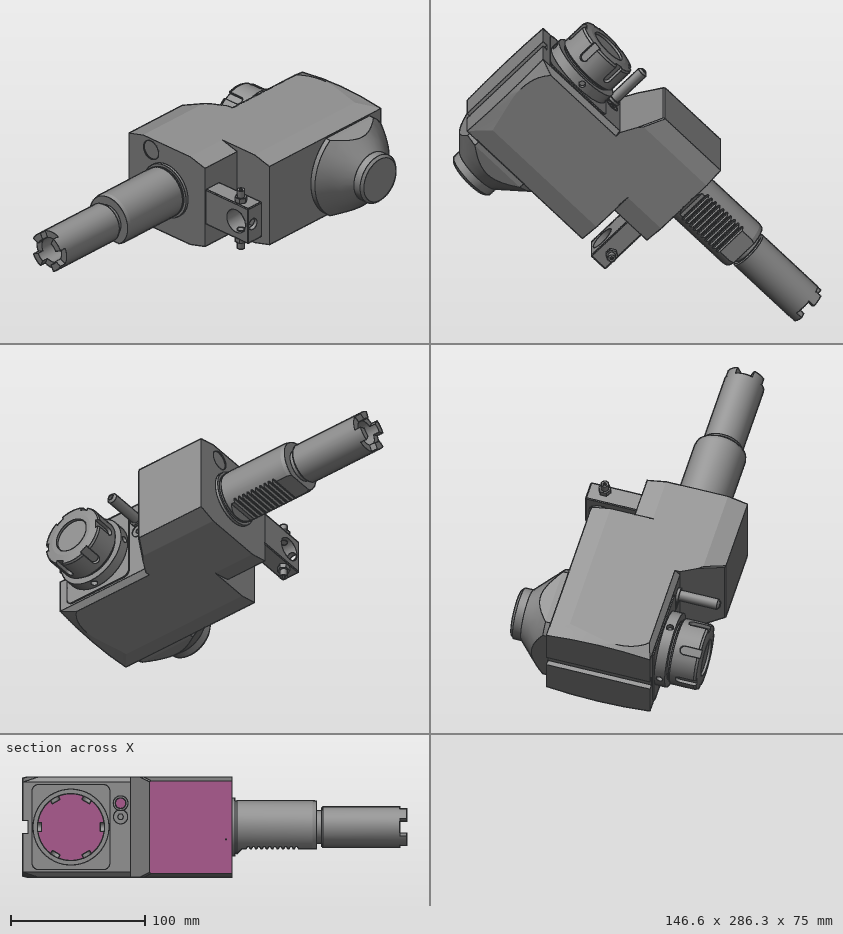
import cadquery as cq
import math


CLEARANCE = 1.0
HEX_SIDES = 6

HOUSING_LENGTH = 156.0
HOUSING_HEIGHT = 75.0
TOP_Z = HOUSING_HEIGHT / 2
BASE_HALF_WIDTH = 39.0
SPINDLE_FACE_X = -8.4
COVER_FACE_X = 72.0
STEP_Y = 35.0
RAMP_START_Y = 59.1
RAMP_END_Y = 75.5
RAMP_CHAMFER = 0.9
BEVEL_ANGLE = 15.0
BEVEL_WIDTH = 15.0
BEVEL_DROP = BEVEL_WIDTH * math.tan(math.radians(BEVEL_ANGLE))
SPINDLE_BEVEL = 4.0
CROWN_DEPTH = 12.2
CROWN_POINTS = [(5.0, 6.2), (21.0, 3.9), (40.0, 7.7)]
CROWN_BACK_X = 24.0
CROWN_RISE = 3.0
BACK_SLOT_WIDTH = 9.5
BACK_SLOT_DEPTH = 4.0
PLUG_X = -16.3
PLUG_Z = 27.7
PLUG_RADIUS = 7.7
PLUG_DEPTH = 1.0

SHANK_RADIUS = 20.0
SHANK_END = 63.0
SHANK_CHAMFER_LENGTH = 3.0
SHANK_CHAMFER = 0.7
COLLAR_RADIUS = 21.7
COLLAR_END = 2.2
RELIEF_END = 3.8
RELIEF_DEPTH = 0.5
NECK_RADIUS = 12.4
SHAFT_START = 66.8
SHAFT_RADIUS = 15.3
SHAFT_CHAMFER = 1.0
SHAFT_SHOULDER = 125.0
SHAFT_END = 130.25
JAW_BORE_RADIUS = 10.0
JAW_BORE_DEPTH = 20.0
JAW_COUNT = 4
JAW_GAP_HALF_ANGLE = 25.5

RACK_Z = -16.2
RACK_START = 7.5
RACK_PITCH = 4.0
RACK_COUNT = 10
RACK_FIRST = 12.0
RACK_DEPTH = 1.7
RACK_GAP_WIDTH = 3.2
RACK_ROOT_WIDTH = 1.0

SPINDLE_Y = 120.0
PAD_LENGTH = 58.0
PAD_HEIGHT = 63.5
PAD_THICKNESS = 1.0
PAD_CORNER = 5.0
FLANGE_RADIUS = 28.3
FLANGE_X = -17.5
FLANGE_HOLE_X = -13.5
FLANGE_HOLE_RADIUS = 2.5
FLANGE_HOLE_DEPTH = 4.0
FLANGE_HOLE_COUNT = 4
SPINDLE_NECK_RADIUS = 22.6
NUT_X = -18.9
NUT_TIP_X = -41.6
NUT_RADIUS = 25.0
NUT_BACK_CHAMFER = 1.4
NUT_RIM_X = -38.8
NUT_RIM_RADIUS = 24.3
NUT_RIM_DROP = 1.0
NUT_FACE_RADIUS = 17.7
COLLET_RADIUS = 14.0
COLLET_DEPTH = 2.0
NUT_SLOT_COUNT = 6
NUT_SLOT_WIDTH = 6.5
NUT_SLOT_FLOOR = 22.0
NUT_SLOT_END_X = -24.8

NOZZLE_Y = 83.0
NOZZLE_Z = 17.8
NOZZLE_RADIUS = 4.0
NOZZLE_CHAMFER = 1.8
NOZZLE_COLLAR_RADIUS = 5.5
NOZZLE_COLLAR_LENGTH = 2.2
NOZZLE_BORE_RADIUS = 2.2
SCREW_Z = 7.7
SCREW_RADIUS = 5.3
SCREW_RECESS = 0.5
SCREW_SOCKET = 4.5
SOCKET_DEPTH = 3.0

COVER_RADIUS = 40.0
COVER_RIM = 4.2
COVER_HUB_RADIUS = 19.5
COVER_END_X = 105.0
COVER_CHAMFER = 2.0
COVER_BACK_FLAT = 31.2
COVER_FLAT_Z = 32.3

ARM_END_X = 82.2
ARM_NEAR_Y = 1.0
ARM_FAR_Y = 16.2
ARM_HALF_HEIGHT = 15.0
ARM_CHAMFER = 0.7
ARM_HOLE_X = 70.0
ARM_HOLE_RADIUS = 9.5
STUD_Y = 6.2
STUD_RADIUS = 2.8
STUD_TOP_Z = 24.8
STUD_TIP_Z = 8.7
CROSS_HOLE_RADIUS = 4.5
STUD_SOCKET = 2.5
NUT_HEX_TOP_Z = 18.9
NUT_HEX_SIZE = 9.2


def revolved_about_y(points):
    """Revolve a (radius, y) outline about the Y axis."""
    return cq.Workplane("XY").polyline(points).close().revolve(360, (0, 0, 0), (0, 1, 0))


def revolved_about_x(points, y, z=0.0):
    """Revolve an (x, radius) outline about the line through (y, z) parallel to X."""
    turned = cq.Workplane("XY").polyline(points).close().revolve(360, (0, 0, 0), (1, 0, 0))
    return turned.translate((0, y, z))


def block(x_range, y_range, z_range):
    """Axis-aligned box given by its limits."""
    size = [high - low for low, high in (x_range, y_range, z_range)]
    corner = (x_range[0], y_range[0], z_range[0])
    return cq.Workplane("XY").box(*size, centered=False).translate(corner)


def with_mirror(shape):
    """The shape joined with its mirror image below the mid-plane."""
    return shape.union(shape.mirror("XY"))


def edge_wedge(x_edge, x_inner, drop, y_start, y_end):
    """Wedges that bevel the top and bottom edge of a housing side face."""
    outline = [(x_edge, TOP_Z - drop), (x_inner, TOP_Z), (x_edge, TOP_Z)]
    wedge = cq.Workplane("XZ").polyline(outline).close().extrude(-(y_end - y_start))
    return with_mirror(wedge.translate((0, y_start, 0)))


def crown_cutter():
    """Cutter between a curved line on the top face and an arc on the back face."""
    front_y = HOUSING_LENGTH - CROWN_DEPTH
    top_points = [
        cq.Vector(SPINDLE_FACE_X + SPINDLE_BEVEL, front_y, TOP_Z),
        *[cq.Vector(x, HOUSING_LENGTH - depth, TOP_Z) for x, depth in CROWN_POINTS],
        cq.Vector(COVER_FACE_X - BEVEL_WIDTH, front_y, TOP_Z),
    ]
    back_z = TOP_Z - BEVEL_DROP
    back_points = [
        cq.Vector(SPINDLE_FACE_X, HOUSING_LENGTH, back_z),
        cq.Vector(CROWN_BACK_X, HOUSING_LENGTH, back_z + CROWN_RISE),
        cq.Vector(COVER_FACE_X, HOUSING_LENGTH, back_z),
    ]
    top_edge = cq.Edge.makeSpline(top_points)
    back_edge = cq.Edge.makeThreePointArc(*back_points)
    crown = cq.Face.makeRuledSurface(top_edge, back_edge)
    cutter = cq.Solid.extrudeLinear(crown, cq.Vector(0, 0, HOUSING_HEIGHT))
    return with_mirror(cq.Workplane(obj=cutter))


def housing():
    """Stepped housing with beveled edges, crowned back, back slot and plug recess."""
    outline = [
        (-BASE_HALF_WIDTH, 0),
        (BASE_HALF_WIDTH, 0),
        (BASE_HALF_WIDTH, STEP_Y),
        (COVER_FACE_X, STEP_Y),
        (COVER_FACE_X, HOUSING_LENGTH),
        (SPINDLE_FACE_X, HOUSING_LENGTH),
        (SPINDLE_FACE_X, RAMP_END_Y),
        (-BASE_HALF_WIDTH, RAMP_START_Y),
    ]
    body = cq.Workplane("XY").polyline(outline).close().extrude(TOP_Z, both=True)
    base_inner = BASE_HALF_WIDTH - BEVEL_WIDTH
    body = body.cut(edge_wedge(-BASE_HALF_WIDTH, -base_inner, BEVEL_DROP, 0, HOUSING_LENGTH))
    ramp_edges = cq.selectors.BoxSelector(
        (-BASE_HALF_WIDTH - CLEARANCE, RAMP_START_Y - CLEARANCE, -TOP_Z),
        (-base_inner - CLEARANCE, RAMP_END_Y, TOP_Z),
    )
    body = body.edges(ramp_edges).chamfer(RAMP_CHAMFER)
    body = body.cut(edge_wedge(BASE_HALF_WIDTH, base_inner, BEVEL_DROP, 0, STEP_Y))
    cover_inner = COVER_FACE_X - BEVEL_WIDTH
    body = body.cut(edge_wedge(COVER_FACE_X, cover_inner, BEVEL_DROP, STEP_Y, HOUSING_LENGTH))
    spindle_inner = SPINDLE_FACE_X + SPINDLE_BEVEL
    body = body.cut(edge_wedge(SPINDLE_FACE_X, spindle_inner, BEVEL_DROP, RAMP_END_Y, HOUSING_LENGTH))
    body = body.cut(crown_cutter())
    slot = block(
        (SPINDLE_FACE_X, COVER_FACE_X),
        (HOUSING_LENGTH - BACK_SLOT_DEPTH, HOUSING_LENGTH),
        (-BACK_SLOT_WIDTH / 2, BACK_SLOT_WIDTH / 2),
    )
    plug = cq.Workplane("XZ").center(PLUG_X, PLUG_Z).circle(PLUG_RADIUS).extrude(-PLUG_DEPTH)
    return body.cut(slot).cut(plug)


def shank():
    """Stepped shank with the clamping rack on its underside."""
    solid = revolved_about_y([
        (0, 0),
        (COLLAR_RADIUS, 0),
        (COLLAR_RADIUS, -COLLAR_END),
        (SHANK_RADIUS - RELIEF_DEPTH, -COLLAR_END),
        (SHANK_RADIUS - RELIEF_DEPTH, -RELIEF_END),
        (SHANK_RADIUS, -RELIEF_END),
        (SHANK_RADIUS, -SHANK_END + SHANK_CHAMFER_LENGTH),
        (SHANK_RADIUS - SHANK_CHAMFER, -SHANK_END),
        (0, -SHANK_END),
    ])
    slope = SHANK_RADIUS + RACK_Z
    flat = [
        (-RACK_START, RACK_Z),
        (-RACK_START + slope, RACK_Z - slope),
        (-SHANK_END, RACK_Z - slope),
        (-SHANK_END, RACK_Z),
    ]
    solid = solid.cut(cq.Workplane("YZ").polyline(flat).close().extrude(SHANK_RADIUS, both=True))
    for index in range(RACK_COUNT):
        center = -RACK_FIRST - index * RACK_PITCH
        gap = [
            (center - RACK_GAP_WIDTH / 2, RACK_Z),
            (center + RACK_GAP_WIDTH / 2, RACK_Z),
            (center + RACK_ROOT_WIDTH / 2, RACK_Z + RACK_DEPTH),
            (center - RACK_ROOT_WIDTH / 2, RACK_Z + RACK_DEPTH),
        ]
        solid = solid.cut(cq.Workplane("YZ").polyline(gap).close().extrude(SHANK_RADIUS, both=True))
    return solid


def drive_shaft():
    """Drive shaft with a jaw coupling at its end."""
    solid = revolved_about_y([
        (0, -SHANK_END),
        (NECK_RADIUS, -SHANK_END),
        (NECK_RADIUS, -SHAFT_START),
        (SHAFT_RADIUS - SHAFT_CHAMFER, -SHAFT_START),
        (SHAFT_RADIUS, -SHAFT_START - SHAFT_CHAMFER),
        (SHAFT_RADIUS, -SHAFT_END),
        (JAW_BORE_RADIUS, -SHAFT_END),
        (JAW_BORE_RADIUS, -SHAFT_END + JAW_BORE_DEPTH),
        (0, -SHAFT_END + JAW_BORE_DEPTH),
    ])
    gap_reach = 2 * SHAFT_RADIUS
    gap_half_width = gap_reach * math.tan(math.radians(JAW_GAP_HALF_ANGLE))
    gap_outline = [(0, 0), (gap_reach, -gap_half_width), (gap_reach, gap_half_width)]
    gap = cq.Workplane("XZ", origin=(0, -SHAFT_SHOULDER, 0)).polyline(gap_outline).close()
    gap = gap.extrude(SHAFT_END - SHAFT_SHOULDER)
    for index in range(JAW_COUNT):
        solid = solid.cut(gap.rotate((0, 0, 0), (0, 1, 0), index * 360 / JAW_COUNT))
    return solid


def spindle_flange():
    """Raised pad and round flange that carry the spindle."""
    pad = cq.Workplane("YZ", origin=(SPINDLE_FACE_X, SPINDLE_Y, 0)).rect(PAD_LENGTH, PAD_HEIGHT)
    pad = pad.extrude(-PAD_THICKNESS).edges("|X").fillet(PAD_CORNER)
    flange = revolved_about_x([
        (SPINDLE_FACE_X, 0),
        (SPINDLE_FACE_X, FLANGE_RADIUS),
        (FLANGE_X, FLANGE_RADIUS),
        (FLANGE_X, 0),
    ], SPINDLE_Y)
    hole = cq.Workplane("XY", origin=(FLANGE_HOLE_X, SPINDLE_Y, FLANGE_RADIUS - FLANGE_HOLE_DEPTH))
    hole = hole.circle(FLANGE_HOLE_RADIUS).extrude(2 * FLANGE_HOLE_DEPTH)
    for index in range(FLANGE_HOLE_COUNT):
        angle = index * 360 / FLANGE_HOLE_COUNT
        flange = flange.cut(hole.rotate((0, SPINDLE_Y, 0), (1, SPINDLE_Y, 0), angle))
    return pad.union(flange)


def collet_nut():
    """Slotted clamping nut with the collet face recessed in its front."""
    nut = revolved_about_x([
        (FLANGE_X, 0),
        (FLANGE_X, SPINDLE_NECK_RADIUS),
        (NUT_X, SPINDLE_NECK_RADIUS),
        (NUT_X, NUT_RADIUS - NUT_BACK_CHAMFER),
        (NUT_X - NUT_BACK_CHAMFER, NUT_RADIUS),
        (NUT_RIM_X, NUT_RADIUS),
        (NUT_TIP_X + NUT_RIM_DROP, NUT_RIM_RADIUS),
        (NUT_TIP_X, NUT_FACE_RADIUS),
        (NUT_TIP_X, COLLET_RADIUS),
        (NUT_TIP_X + COLLET_DEPTH, COLLET_RADIUS),
        (NUT_TIP_X + COLLET_DEPTH, 0),
    ], SPINDLE_Y)
    slot_center_x = NUT_SLOT_END_X - NUT_SLOT_WIDTH / 2
    slot = block(
        (NUT_TIP_X, slot_center_x),
        (-NUT_SLOT_WIDTH / 2, NUT_SLOT_WIDTH / 2),
        (NUT_SLOT_FLOOR, NUT_RADIUS + CLEARANCE),
    )
    slot_end = cq.Workplane("XY", origin=(slot_center_x, 0, NUT_SLOT_FLOOR)).circle(NUT_SLOT_WIDTH / 2)
    slot = slot.union(slot_end.extrude(NUT_RADIUS + CLEARANCE - NUT_SLOT_FLOOR)).translate((0, SPINDLE_Y, 0))
    for index in range(NUT_SLOT_COUNT):
        angle = (index + 0.5) * 360 / NUT_SLOT_COUNT
        nut = nut.cut(slot.rotate((0, SPINDLE_Y, 0), (1, SPINDLE_Y, 0), angle))
    return nut


def nozzle():
    """Coolant nozzle with a blind bore in its tip."""
    collar_x = SPINDLE_FACE_X - NOZZLE_COLLAR_LENGTH
    return revolved_about_x([
        (SPINDLE_FACE_X, 0),
        (SPINDLE_FACE_X, NOZZLE_COLLAR_RADIUS),
        (collar_x, NOZZLE_COLLAR_RADIUS),
        (collar_x, NOZZLE_RADIUS),
        (NUT_TIP_X + NOZZLE_CHAMFER, NOZZLE_RADIUS),
        (NUT_TIP_X, NOZZLE_BORE_RADIUS),
        (NUT_TIP_X + SOCKET_DEPTH, NOZZLE_BORE_RADIUS),
        (NUT_TIP_X + SOCKET_DEPTH, 0),
    ], NOZZLE_Y, NOZZLE_Z)


def screw_plug_recess():
    """Shallow seat and hexagon socket of the screw plug next to the nozzle."""
    face = cq.Workplane("YZ", origin=(SPINDLE_FACE_X, NOZZLE_Y, SCREW_Z))
    seat = face.circle(SCREW_RADIUS).extrude(SCREW_RECESS)
    return seat.union(face.polygon(HEX_SIDES, SCREW_SOCKET).extrude(SOCKET_DEPTH))


def bearing_cover():
    """Conical cover trimmed by a back flat and by sloped flats above and below."""
    cone_start = COVER_FACE_X + COVER_RIM
    cone_end = cone_start + COVER_RADIUS - COVER_HUB_RADIUS
    cover = revolved_about_x([
        (COVER_FACE_X, 0),
        (COVER_FACE_X, COVER_RADIUS),
        (cone_start, COVER_RADIUS),
        (cone_end, COVER_HUB_RADIUS),
        (COVER_END_X - COVER_CHAMFER, COVER_HUB_RADIUS),
        (COVER_END_X, COVER_HUB_RADIUS - COVER_CHAMFER),
        (COVER_END_X, 0),
    ], SPINDLE_Y)
    drop = (cone_end - cone_start) * math.tan(math.radians(BEVEL_ANGLE))
    trim = [
        (COVER_FACE_X, COVER_FLAT_Z),
        (cone_start, COVER_FLAT_Z),
        (cone_end, COVER_FLAT_Z - drop),
        (cone_end, COVER_RADIUS),
        (COVER_FACE_X, COVER_RADIUS),
    ]
    flats = cq.Workplane("XZ").polyline(trim).close().extrude(COVER_RADIUS, both=True)
    back = block(
        (COVER_FACE_X, cone_end),
        (COVER_BACK_FLAT, COVER_RADIUS),
        (-COVER_RADIUS, COVER_RADIUS),
    )
    return cover.cut(with_mirror(flats).union(back).translate((0, SPINDLE_Y, 0)))


def support_arm():
    """Arm with a through hole, a cross hole in its end, and a stud with nut above and below."""
    arm = block(
        (BASE_HALF_WIDTH, ARM_END_X),
        (ARM_NEAR_Y, ARM_FAR_Y),
        (-ARM_HALF_HEIGHT, ARM_HALF_HEIGHT),
    )
    arm = arm.faces("not <X").edges("not <X").chamfer(ARM_CHAMFER)
    seat = cq.Workplane("XY", origin=(ARM_HOLE_X, STUD_Y, ARM_HALF_HEIGHT))
    hex_nut = seat.polygon(HEX_SIDES, NUT_HEX_SIZE).extrude(NUT_HEX_TOP_Z - ARM_HALF_HEIGHT)
    stud = cq.Workplane("XY", origin=(ARM_HOLE_X, STUD_Y, STUD_TIP_Z)).circle(STUD_RADIUS)
    stud = stud.extrude(STUD_TOP_Z - STUD_TIP_Z)
    stud = stud.faces(">Z").workplane().polygon(HEX_SIDES, STUD_SOCKET).cutBlind(-SOCKET_DEPTH)
    hole = cq.Workplane("XZ").center(ARM_HOLE_X, 0).circle(ARM_HOLE_RADIUS).extrude(-2 * ARM_FAR_Y)
    cross_hole = cq.Workplane("YZ", origin=(ARM_HOLE_X, STUD_Y, 0)).circle(CROSS_HOLE_RADIUS)
    cross_hole = cross_hole.extrude(ARM_END_X - ARM_HOLE_X)
    return arm.cut(hole).cut(cross_hole).union(with_mirror(stud.union(hex_nut)))


result = housing().cut(screw_plug_recess())
for piece in (
    shank(), drive_shaft(), spindle_flange(), collet_nut(), nozzle(), bearing_cover(), support_arm(),
):
    result = result.union(piece)